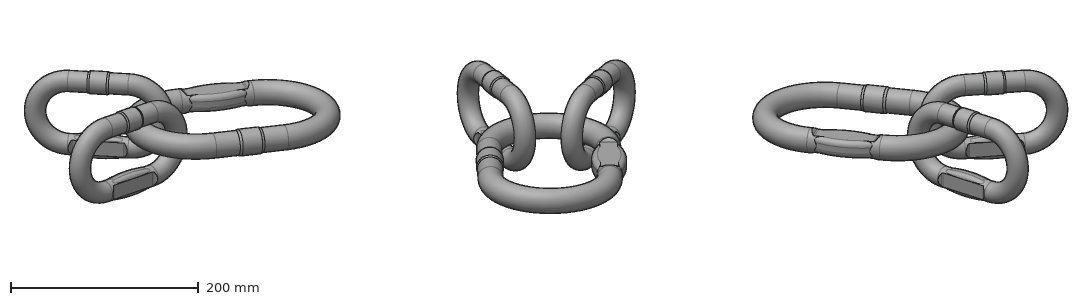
import cadquery as cq
import math

OVERALL_LENGTH = 322.5

MASTER_ROD_DIAMETER = 27.0
MASTER_BEND_RADIUS = 63.5
MASTER_STRAIGHT = 80.0
MASTER_COLLAR_DIAMETER = 29.0
MASTER_COLLAR_LENGTH = 21.5
MASTER_COLLAR_TAPER = 3.0
MASTER_TAG_HALF_WIDTH = 18.7
MASTER_TAG_FLAT_HEIGHT = 9.7
MASTER_TAG_SWELL_LENGTH = 58.7
MASTER_TAG_FLAT_LENGTH = 67.0
MASTER_TAG_ROUNDING = 6.0

TAG_FLOOR_FILLET = 2.3

SUB_ROD_DIAMETER = 23.0
SUB_BEND_RADIUS = 36.5
SUB_STRAIGHT = 65.0
SUB_COLLAR_DIAMETER = 24.8
SUB_COLLAR_LENGTH = 18.7
SUB_COLLAR_TAPER = 2.3
SUB_TAG_HALF_WIDTH = 13.2
SUB_TAG_FLAT_HEIGHT = 8.0
SUB_TAG_SWELL_LENGTH = 45.0
SUB_TAG_FLAT_LENGTH = 56.7
SUB_TAG_ROUNDING = 5.5
SUB_SPREAD_ANGLE = 25.1
SUB_CENTER_SPACING = 108.5

MASTER_TOP_Y = MASTER_STRAIGHT / 2 + MASTER_BEND_RADIUS + MASTER_ROD_DIAMETER / 2
SUB_AXIS_HALF_LENGTH = SUB_STRAIGHT / 2 + SUB_BEND_RADIUS
SUB_REACH_Y = SUB_AXIS_HALF_LENGTH * math.cos(math.radians(SUB_SPREAD_ANGLE)) + SUB_ROD_DIAMETER / 2
SUB_CENTER_Y = MASTER_TOP_Y - OVERALL_LENGTH + SUB_REACH_Y


def link_rod(rod_diameter, bend_radius, straight):
    """Round rod bent into an oval, with straight legs along Y at x = -/+ bend_radius."""
    half = straight / 2
    path = (
        cq.Workplane("XY")
        .moveTo(bend_radius, -half)
        .lineTo(bend_radius, half)
        .threePointArc((0, half + bend_radius), (-bend_radius, half))
        .lineTo(-bend_radius, -half)
        .threePointArc((0, -half - bend_radius), (bend_radius, -half))
        .close()
    )
    return cq.Workplane("XZ", origin=(bend_radius, -half, 0)).circle(rod_diameter / 2).sweep(path)


def weld_collar(rod_diameter, collar_diameter, length, taper):
    """Raised band around a leg along Y, with a short cone down to the rod at each end."""
    rod_radius = rod_diameter / 2
    collar_radius = collar_diameter / 2
    half_band = length / 2
    half_total = half_band + taper
    return (
        cq.Workplane("XY")
        .moveTo(0, -half_total)
        .lineTo(rod_radius, -half_total)
        .lineTo(collar_radius, -half_band)
        .lineTo(collar_radius, half_band)
        .lineTo(rod_radius, half_total)
        .lineTo(0, half_total)
        .close()
        .revolve(360, (0, 0, 0), (0, 1, 0))
    )


def tag_swell(rod_diameter, half_width, flat_height, swell_length, flat_length, rounding):
    """Flat-topped swelling with bowed, rounded sides that run into the rod at swell_length."""
    rise = half_width - rod_diameter / 2
    bow_radius = ((swell_length / 2) ** 2 + rise**2) / (2 * rise)
    half_length = flat_length / 2
    end_half_width = half_width - bow_radius + math.sqrt(bow_radius**2 - half_length**2)
    return (
        cq.Workplane("XY")
        .workplane(offset=-flat_height)
        .moveTo(end_half_width, -half_length)
        .threePointArc((half_width, 0), (end_half_width, half_length))
        .lineTo(-end_half_width, half_length)
        .threePointArc((-half_width, 0), (-end_half_width, -half_length))
        .close()
        .extrude(2 * flat_height)
        .faces("|Z")
        .edges("<X or >X")
        .fillet(rounding)
    )


def tag_flat_cut(rod_diameter, flat_height, flat_length):
    """Trapezoid above the tag flat, as wide as the rod, with filleted 45 degree end slopes."""
    clear_height = rod_diameter / 2
    rise = clear_height - flat_height
    half_floor = flat_length / 2
    half_top = half_floor + rise
    return (
        cq.Workplane("YZ")
        .polyline(
            [
                (-half_floor, flat_height),
                (half_floor, flat_height),
                (half_top, clear_height),
                (-half_top, clear_height),
            ]
        )
        .close()
        .extrude(rod_diameter / 2, both=True)
        .faces("<Z")
        .edges("|X")
        .fillet(TAG_FLOOR_FILLET)
    )


def make_link(
    rod_diameter, bend_radius, straight,
    collar_diameter, collar_length, collar_taper,
    tag_half_width, tag_flat_height, tag_swell_length, tag_flat_length, tag_rounding,
):
    """Oval link in the XY plane with its collar on the +X leg and its tag on the -X leg."""
    rod = link_rod(rod_diameter, bend_radius, straight)
    collar = weld_collar(rod_diameter, collar_diameter, collar_length, collar_taper)
    upper_cut = tag_flat_cut(rod_diameter, tag_flat_height, tag_flat_length)
    lower_cut = upper_cut.mirror("XY")
    swell = tag_swell(
        rod_diameter, tag_half_width, tag_flat_height, tag_swell_length, tag_flat_length, tag_rounding
    )
    return (
        rod.union(collar.translate((bend_radius, 0, 0)))
        .cut(upper_cut.translate((-bend_radius, 0, 0)))
        .cut(lower_cut.translate((-bend_radius, 0, 0)))
        .union(swell.translate((-bend_radius, 0, 0)))
    )


def make_master_link():
    """Large link centered on the origin."""
    return make_link(
        MASTER_ROD_DIAMETER, MASTER_BEND_RADIUS, MASTER_STRAIGHT,
        MASTER_COLLAR_DIAMETER, MASTER_COLLAR_LENGTH, MASTER_COLLAR_TAPER,
        MASTER_TAG_HALF_WIDTH, MASTER_TAG_FLAT_HEIGHT, MASTER_TAG_SWELL_LENGTH,
        MASTER_TAG_FLAT_LENGTH, MASTER_TAG_ROUNDING,
    )


def make_sub_link(side):
    """Upright sub-link, collar on top; side is -1 for the -X link and +1 for the +X link."""
    flat_link = make_link(
        SUB_ROD_DIAMETER, SUB_BEND_RADIUS, SUB_STRAIGHT,
        SUB_COLLAR_DIAMETER, SUB_COLLAR_LENGTH, SUB_COLLAR_TAPER,
        SUB_TAG_HALF_WIDTH, SUB_TAG_FLAT_HEIGHT, SUB_TAG_SWELL_LENGTH,
        SUB_TAG_FLAT_LENGTH, SUB_TAG_ROUNDING,
    )
    upright_link = flat_link.rotate((0, 0, 0), (0, 1, 0), -90)
    return upright_link.rotate((0, 0, 0), (0, 0, 1), side * SUB_SPREAD_ANGLE).translate(
        (side * SUB_CENTER_SPACING / 2, SUB_CENTER_Y, 0)
    )


master_link = make_master_link()
sub_links = [make_sub_link(side) for side in (-1, 1)]

result = cq.Compound.makeCompound([master_link.val(), *(link.val() for link in sub_links)])